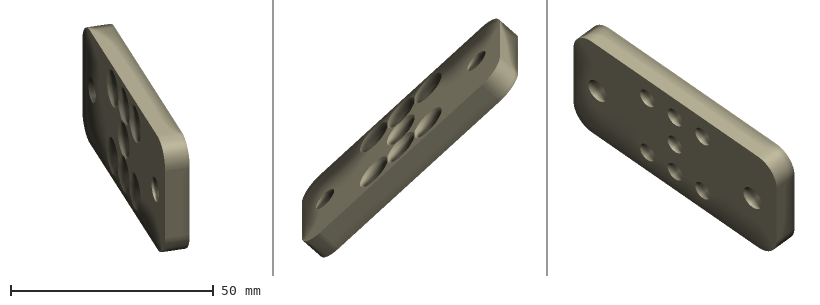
import cadquery as cq

length = 69.85
height = 31.8
thickness = 6.35
corner_radius = 6.35

mount_spacing = 53.4
mount_diameter = 6.35

pitch = 9.5
screw_diameter = 5.1
sink_diameter = 9.8
sink_angle = 100.0
screw_grid = [(column, row) for row in (-1, 1) for column in (-1, 0, 1)] + [(0, 0)]
screw_points = [(column * pitch, row * pitch) for column, row in screw_grid]


def make_plate():
    """Rounded plate centred on the origin, with its countersunk face toward -Y."""
    plate = cq.Workplane("XY").box(length, thickness, height)
    return plate.edges("|Y").fillet(corner_radius)


def drill_mount_holes(plate):
    points = [(-mount_spacing / 2, 0), (mount_spacing / 2, 0)]
    return plate.faces("<Y").workplane(origin=(0, 0, 0)).pushPoints(points).hole(mount_diameter)


def drill_screw_holes(plate):
    face = plate.faces("<Y").workplane(origin=(0, 0, 0))
    return face.pushPoints(screw_points).cskHole(screw_diameter, sink_diameter, sink_angle)


result = drill_screw_holes(drill_mount_holes(make_plate()))